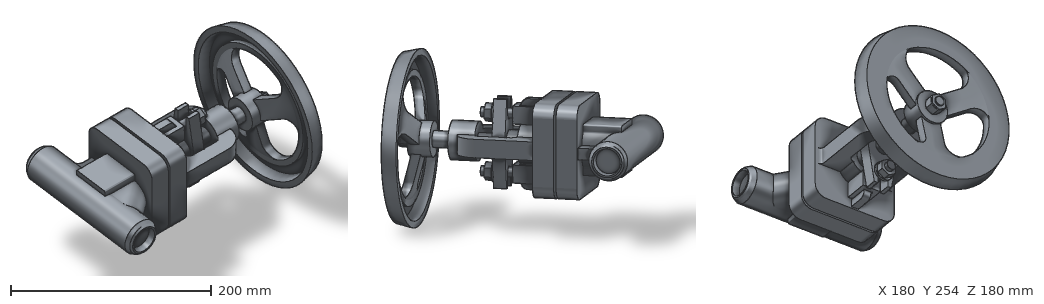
import cadquery as cq
import math


pipe_diameter = 40.0
pipe_radius = pipe_diameter / 2
pipe_length = 161.0
bevel_length = 6.5
bevel_radius = 17.5
land_length = 2.0
land_radius = 15.5
bore_mouth_radius = 13.7
bore_floor_radius = 12.7
bore_depth = 7.5

overall_length = 254.0
tip_y = overall_length - pipe_radius

body_half_depth = 18.8
neck_radius = 28.2
pad_width = 43.7
pad_depth = 52.3
pad_bottom_y = -0.8
pad_edge_radius = 2.0
pad_root_radius = 3.0
branch_angle = 52.0
branch_foot_x = 45.7
rib_reach = 43.5
rib_thickness = 11.7
rib_foot_radius = 9.1

flange_width = 96.0
flange_corner_radius = 13.2
lower_flange_y = 39.0
lower_flange_thickness = 21.3
gasket_radius = 35.8
gasket_thickness = 2.5
bonnet_flange_thickness = 21.9
gasket_y = lower_flange_y + lower_flange_thickness
bonnet_flange_y = gasket_y + gasket_thickness
bonnet_top_y = bonnet_flange_y + bonnet_flange_thickness

yoke_width = 80.0
yoke_thickness = 18.8
yoke_top_y = 168.7
yoke_shoulder_radius = 21.9
yoke_foot_radius = 4.3
window_width = 47.0
window_corner_radius = 6.9
boss_radius = 20.0
boss_bottom_y = 151.5
boss_top_y = 178.6
packing_box_top_y = 107.5

stem_radius = 8.6
tip_radius = 5.0

follower_radius = 13.0
gland_plate_y = 120.5
gland_plate_thickness = 13.5
gland_plate_length = 90.7
gland_middle_width = 36.5
gland_end_width = 20.8
gland_slot_width = 12.0
gland_top_y = gland_plate_y + gland_plate_thickness

bolt_offset = 30.0
bolt_radius = 5.0
bolt_top_y = 149.0
washer_radius = 10.5
washer_thickness = 2.5
nut_corner_diameter = 18.8
bolt_nut_height = 8.0
clevis_width = 20.8
clevis_depth = 18.3
clevis_bottom_y = 88.0
clevis_top_y = 114.3
clevis_slot_width = 10.5
clevis_slot_top_y = 108.5
lug_thickness = 8.5
lug_reach = 46.2
lug_top_y = 107.2
lug_corner_radius = 7.4

wheel_radius = 90.0
wheel_back_radius = 86.5
wheel_front_y = 214.5
wheel_back_y = 230.7
rim_inner_radius = 83.0
groove_outer_radius = 80.0
groove_floor_y = 226.7
lip_outer_radius = 68.5
lip_inner_radius = 62.0
lip_front_y = 220.8
hub_radius = 18.3
hub_front_y = 197.7
hub_back_y = 221.0
web_hub_y = 208.5
spoke_count = 3
spoke_width = 23.0
first_spoke_angle = 30.0
opening_corner_radius = 12.7
wheel_nut_top_y = 232.5


def stem_plane(y):
    """Plane across the stem; its local x is X, its local y is -Z, and it extrudes towards +Y."""
    return cq.Workplane(cq.Plane(origin=(0, y, 0), xDir=(1, 0, 0), normal=(0, 1, 0)))


def disc(radius, start_y, end_y, z=0.0):
    return stem_plane(start_y).center(0, -z).circle(radius).extrude(end_y - start_y)


def block(width, depth, start_y, end_y, z=0.0):
    return stem_plane(start_y).center(0, -z).rect(width, depth).extrude(end_y - start_y)


def hex_nut(start_y, end_y, z=0.0):
    """Hexagonal nut with two of its corners on the Z direction."""
    return (
        stem_plane(start_y)
        .center(0, -z)
        .transformed(rotate=(0, 0, 90))
        .polygon(6, nut_corner_diameter)
        .extrude(end_y - start_y)
    )


def make_pipe():
    half = pipe_length / 2
    profile = [
        (-half, 0),
        (-half, land_radius),
        (-half + land_length, bevel_radius),
        (-half + bevel_length, pipe_radius),
        (half - bevel_length, pipe_radius),
        (half - land_length, bevel_radius),
        (half, land_radius),
        (half, 0),
    ]
    return cq.Workplane("XY").polyline(profile).close().revolve(360, (0, 0, 0), (1, 0, 0))


def make_bores():
    """Shallow tapered bore in each end of the pipe."""
    half = pipe_length / 2
    floor_x = half - bore_depth
    profile = [(floor_x, 0), (floor_x, bore_floor_radius), (half, bore_mouth_radius), (half, 0)]
    bore = cq.Workplane("XY").polyline(profile).close().revolve(360, (0, 0, 0), (1, 0, 0))
    return bore.union(bore.mirror("YZ"))


def make_branch():
    """Slanted branch on the +X side: half-round outside, flat-sided towards the neck."""
    slope = math.radians(branch_angle)
    axis = cq.Plane(
        origin=(branch_foot_x, 0, 0),
        xDir=(0, 0, 1),
        normal=(-math.cos(slope), math.sin(slope), 0),
    )
    length = math.hypot(branch_foot_x, lower_flange_y)
    branch = (
        cq.Workplane(axis)
        .moveTo(-body_half_depth, -branch_foot_x)
        .lineTo(-body_half_depth, 0)
        .threePointArc((0, body_half_depth), (body_half_depth, 0))
        .lineTo(body_half_depth, -branch_foot_x)
        .close()
        .extrude(length)
    )
    clip_width = 2 * branch_foot_x
    clip = block(clip_width, flange_width, 0, lower_flange_y).translate((clip_width / 2, 0, 0))
    return branch.intersect(clip)


def make_neck():
    """Half-round neck on the -X side, joined to a block whose +Z and -Z ends are the raised pads."""
    neck = disc(neck_radius, 0, lower_flange_y)
    left_half = block(neck_radius, 2 * body_half_depth, 0, lower_flange_y)
    neck = neck.intersect(left_half.translate((-neck_radius / 2, 0, 0)))
    pad = block(pad_width, pad_depth, 0, lower_flange_y).edges("|Y").fillet(pad_edge_radius)
    pad_foot = block(pad_width, pad_depth, pad_bottom_y, 0).edges("|Y").fillet(pad_edge_radius)
    root_x = pad_width / 2
    root_z = math.sqrt(neck_radius**2 - root_x**2)
    reach = pad_root_radius / 2
    roots = cq.selectors.BoxSelector(
        (-root_x - reach, 0, -root_z - reach), (-root_x + reach, lower_flange_y, root_z + reach)
    )
    neck = neck.union(pad).edges("|Y").edges(roots).fillet(pad_root_radius)
    return neck.union(pad_foot)


def make_rib():
    """Rib under the flange, its foot rounded down to where the rib sides meet the pipe."""
    foot_y = math.sqrt(pipe_radius**2 - (rib_thickness / 2) ** 2)
    return (
        cq.Workplane("XY")
        .moveTo(0, 0)
        .lineTo(-rib_reach - rib_foot_radius, 0)
        .lineTo(-rib_reach - rib_foot_radius, foot_y)
        .radiusArc((-rib_reach, foot_y + rib_foot_radius), -rib_foot_radius)
        .lineTo(-rib_reach, lower_flange_y)
        .lineTo(0, lower_flange_y)
        .close()
        .extrude(rib_thickness / 2, both=True)
    )


def make_flanges():
    lower = block(flange_width, flange_width, lower_flange_y, gasket_y)
    bonnet = block(flange_width, flange_width, bonnet_flange_y, bonnet_top_y)
    gasket = disc(gasket_radius, gasket_y, bonnet_flange_y)
    lower = lower.edges("|Y").fillet(flange_corner_radius)
    bonnet = bonnet.edges("|Y").fillet(flange_corner_radius)
    return lower.union(gasket).union(bonnet)


def make_yoke():
    half = yoke_width / 2
    foot = half + yoke_foot_radius
    shoulder_x = half - yoke_shoulder_radius
    shoulder_y = yoke_top_y - yoke_shoulder_radius
    foot_y = bonnet_top_y + yoke_foot_radius
    frame = (
        cq.Workplane("XY")
        .moveTo(-foot, bonnet_top_y)
        .radiusArc((-half, foot_y), -yoke_foot_radius)
        .lineTo(-half, shoulder_y)
        .radiusArc((-shoulder_x, yoke_top_y), yoke_shoulder_radius)
        .lineTo(shoulder_x, yoke_top_y)
        .radiusArc((half, shoulder_y), yoke_shoulder_radius)
        .lineTo(half, foot_y)
        .radiusArc((foot, bonnet_top_y), -yoke_foot_radius)
        .close()
        .extrude(yoke_thickness / 2, both=True)
    )
    window = block(window_width, yoke_thickness, packing_box_top_y, boss_bottom_y)
    window = window.edges("|Z").fillet(window_corner_radius)
    packing_box = disc(boss_radius, bonnet_top_y, packing_box_top_y)
    boss = disc(boss_radius, boss_bottom_y, boss_top_y)
    return frame.cut(window).union(packing_box).union(boss)


def make_stem():
    return disc(stem_radius, bonnet_top_y, wheel_back_y).union(disc(tip_radius, wheel_back_y, tip_y))


def make_gland():
    half_length = gland_plate_length / 2
    half_middle = gland_middle_width / 2
    half_end = gland_end_width / 2
    plate = (
        stem_plane(gland_plate_y)
        .polyline(
            [
                (half_middle, 0),
                (half_end, half_length),
                (-half_end, half_length),
                (-half_middle, 0),
                (-half_end, -half_length),
                (half_end, -half_length),
            ]
        )
        .close()
        .extrude(gland_plate_thickness)
    )
    slot_depth = half_length - bolt_offset
    for side in (-1, 1):
        slot_end = disc(gland_slot_width / 2, gland_plate_y, gland_top_y, side * bolt_offset)
        slot_middle_z = side * (bolt_offset + slot_depth / 2)
        slot = block(gland_slot_width, slot_depth, gland_plate_y, gland_top_y, slot_middle_z)
        plate = plate.cut(slot_end).cut(slot)
    return plate.union(disc(follower_radius, packing_box_top_y, gland_plate_y))


def make_eyebolt(side):
    z = side * bolt_offset
    washer_top_y = gland_top_y + washer_thickness
    clevis = block(clevis_width, clevis_depth, clevis_bottom_y, clevis_top_y, z)
    slot = block(clevis_slot_width, clevis_depth, clevis_bottom_y, clevis_slot_top_y, z)
    rod = disc(bolt_radius, clevis_top_y, bolt_top_y, z)
    washer = disc(washer_radius, gland_top_y, washer_top_y, z)
    nut = hex_nut(washer_top_y, washer_top_y + bolt_nut_height, z)
    return clevis.cut(slot).union(rod).union(washer).union(nut)


def make_lugs():
    """One plate through the packing box; its ends are the two eyebolt lugs."""
    plate = block(lug_thickness, 2 * lug_reach, bonnet_top_y, lug_top_y)
    return plate.faces(">Y").edges("|X").fillet(lug_corner_radius)


def make_wheel_openings():
    """Openings between the spokes, from the hub out to the lip."""
    opening_length = wheel_back_y - hub_front_y
    hub = disc(hub_radius, hub_front_y, wheel_back_y)
    openings = disc(lip_inner_radius, hub_front_y, wheel_back_y).cut(hub)
    for i in range(spoke_count):
        angle = first_spoke_angle + i * 360 / spoke_count
        spoke = (
            cq.Workplane("XY")
            .box(wheel_radius, opening_length, spoke_width, centered=(False, False, True))
            .translate((0, hub_front_y, 0))
            .rotate((0, 0, 0), (0, 1, 0), -angle)
        )
        openings = openings.cut(spoke)
    hub_zone = cq.selectors.BoxSelector(
        (-hub_radius, hub_front_y, -hub_radius), (hub_radius, wheel_back_y, hub_radius)
    )
    along_stem = cq.selectors.ParallelDirSelector(cq.Vector(0, 1, 0))
    outer_corners = cq.selectors.SubtractSelector(along_stem, hub_zone)
    return openings.edges(outer_corners).fillet(opening_corner_radius)


def make_wheel():
    web_drop = lip_front_y - web_hub_y
    web_back_hub_y = wheel_back_y - web_drop
    profile = [
        (0, hub_front_y),
        (hub_radius, hub_front_y),
        (hub_radius, web_hub_y),
        (lip_inner_radius, lip_front_y),
        (lip_outer_radius, lip_front_y),
        (lip_outer_radius, groove_floor_y),
        (groove_outer_radius, groove_floor_y),
        (rim_inner_radius, wheel_front_y),
        (wheel_radius, wheel_front_y),
        (wheel_back_radius, wheel_back_y),
        (lip_inner_radius, wheel_back_y),
        (hub_radius, web_back_hub_y),
        (hub_radius, hub_back_y),
        (0, hub_back_y),
    ]
    wheel = cq.Workplane("XY").polyline(profile).close().revolve(360, (0, 0, 0), (0, 1, 0))
    return wheel.cut(make_wheel_openings()).union(hex_nut(hub_back_y, wheel_nut_top_y))


body = make_pipe().union(make_branch()).union(make_neck()).union(make_rib()).cut(make_bores())
bonnet = make_flanges().union(make_yoke()).union(make_lugs()).union(make_stem())
gland = make_gland().union(make_eyebolt(1)).union(make_eyebolt(-1))
result = body.union(bonnet).union(gland).union(make_wheel())